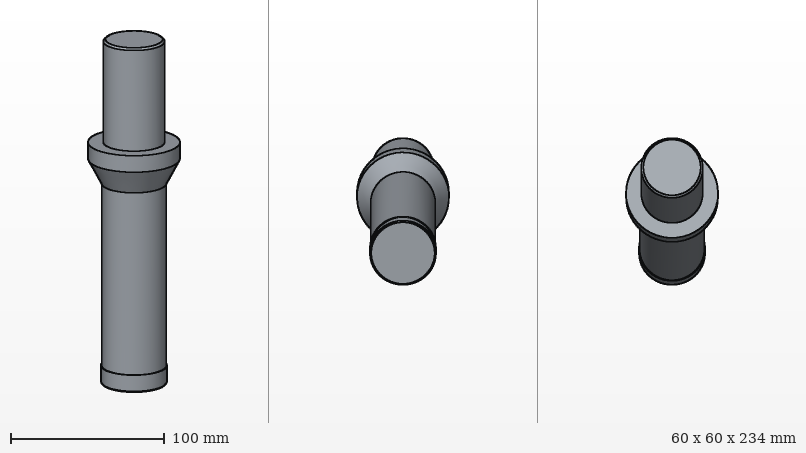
import cadquery as cq

total_height = 234.0
cap_height = 12.0
cone_bottom = 136.0
flange_bottom = 152.8
flange_top = 164.0

flange_diameter = 60.0
spigot_diameter = 40.0
shaft_diameter = 42.1
cap_diameter = 43.0

spigot_chamfer = 1.5
cap_chamfer = 1.0


def make_pillar():
    """Stepped pillar: shaft, conical shoulder, flange and chamfered spigot."""
    shaft_radius = shaft_diameter / 2
    flange_radius = flange_diameter / 2
    spigot_radius = spigot_diameter / 2
    profile = (
        cq.Workplane("XZ")
        .moveTo(0, cap_height)
        .lineTo(shaft_radius, cap_height)
        .lineTo(shaft_radius, cone_bottom)
        .lineTo(flange_radius, flange_bottom)
        .lineTo(flange_radius, flange_top)
        .lineTo(spigot_radius, flange_top)
        .lineTo(spigot_radius, total_height)
        .lineTo(0, total_height)
        .close()
    )
    pillar = profile.revolve(360, (0, 0, 0), (0, 1, 0))
    return pillar.faces(">Z").chamfer(spigot_chamfer)


def make_end_cap():
    """Disc closing the bottom end of the shaft, chamfered on its lower rim."""
    cap = cq.Workplane("XY").circle(cap_diameter / 2).extrude(cap_height)
    return cap.faces("<Z").chamfer(cap_chamfer)


pillar = make_pillar()
end_cap = make_end_cap()
result = cq.Compound.makeCompound([pillar.val(), end_cap.val()])